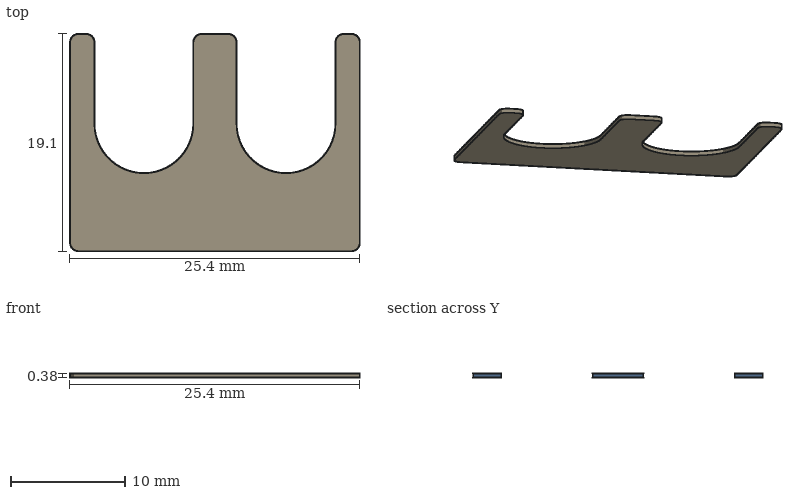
import cadquery as cq

plate_width = 25.4
plate_depth = 19.05
thickness = 0.38
corner_radius = 0.75

slot_width = 8.64
slot_spacing = 12.45
web_depth = 6.85

slot_radius = slot_width / 2
slot_center_y = -plate_depth / 2 + web_depth + slot_radius
slot_straight = plate_depth / 2 - slot_center_y


def open_slot(center_x):
    """U-shaped cutter: a round bottom with straight sides up to the +Y edge."""
    round_bottom = (
        cq.Workplane("XY")
        .center(center_x, slot_center_y)
        .circle(slot_radius)
        .extrude(thickness)
    )
    straight_sides = (
        cq.Workplane("XY")
        .center(center_x, slot_center_y + slot_straight / 2)
        .rect(slot_width, slot_straight)
        .extrude(thickness)
    )
    return round_bottom.union(straight_sides)


plate = cq.Workplane("XY").rect(plate_width, plate_depth).extrude(thickness)
for side in (-1, 1):
    plate = plate.cut(open_slot(side * slot_spacing / 2))

prong_tips = plate.edges("|Z and >Y")
base_corners = plate.edges("|Z and <Y")
result = prong_tips.add(base_corners).fillet(corner_radius)